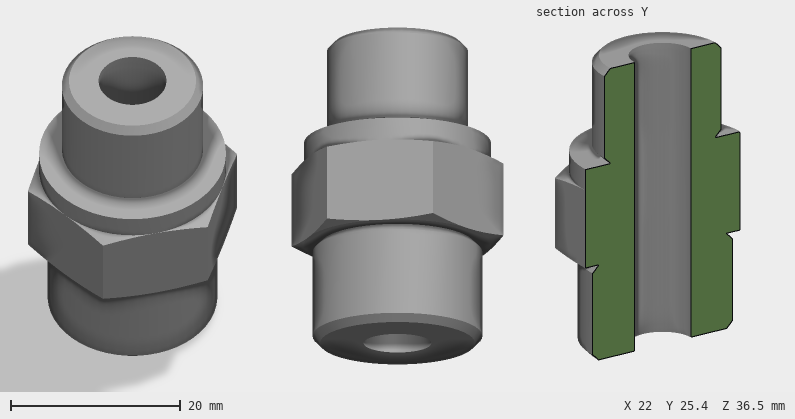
import cadquery as cq
import math

total_height = 36.5
across_flats = 22.0
bore_diameter = 8.0
lower_diameter = 20.0
upper_diameter = 16.65
end_length = 12.0
collar_height = 2.65
lower_end_chamfer = 0.88
upper_end_chamfer = 0.85
corner_drop = 0.5

hex_bottom = end_length
collar_top = total_height - end_length
hex_top = collar_top - collar_height
hex_height = hex_top - hex_bottom
across_corners = across_flats / math.cos(math.radians(30))


def cylindrical_end(diameter, bevel, bottom):
    """Cylinder bevelled at its free end and where it meets the body."""
    return (
        cq.Workplane("XY", origin=(0, 0, bottom))
        .circle(diameter / 2)
        .extrude(end_length)
        .edges("%CIRCLE")
        .chamfer(bevel)
    )


def hexagon():
    """Hexagon with flats facing X and conically bevelled corners."""
    prism = (
        cq.Workplane("XY", origin=(0, 0, hex_bottom))
        .transformed(rotate=(0, 0, 30))
        .polygon(6, across_corners)
        .extrude(hex_height)
    )
    flat_radius = across_flats / 2
    corner_radius = across_corners / 2
    bevel_envelope = (
        cq.Workplane("XZ")
        .moveTo(0, hex_bottom)
        .lineTo(flat_radius, hex_bottom)
        .lineTo(corner_radius, hex_bottom + corner_drop)
        .lineTo(corner_radius, hex_top - corner_drop)
        .lineTo(flat_radius, hex_top)
        .lineTo(0, hex_top)
        .close()
        .revolve(360, (0, 0, 0), (0, 1, 0))
    )
    return prism.intersect(bevel_envelope)


collar = (
    cq.Workplane("XY", origin=(0, 0, hex_top))
    .circle(across_flats / 2)
    .extrude(collar_height)
)
lower_end = cylindrical_end(lower_diameter, lower_end_chamfer, 0)
upper_end = cylindrical_end(upper_diameter, upper_end_chamfer, collar_top)
bore = cq.Workplane("XY").circle(bore_diameter / 2).extrude(total_height)

result = hexagon().union(collar).union(lower_end).union(upper_end).cut(bore)